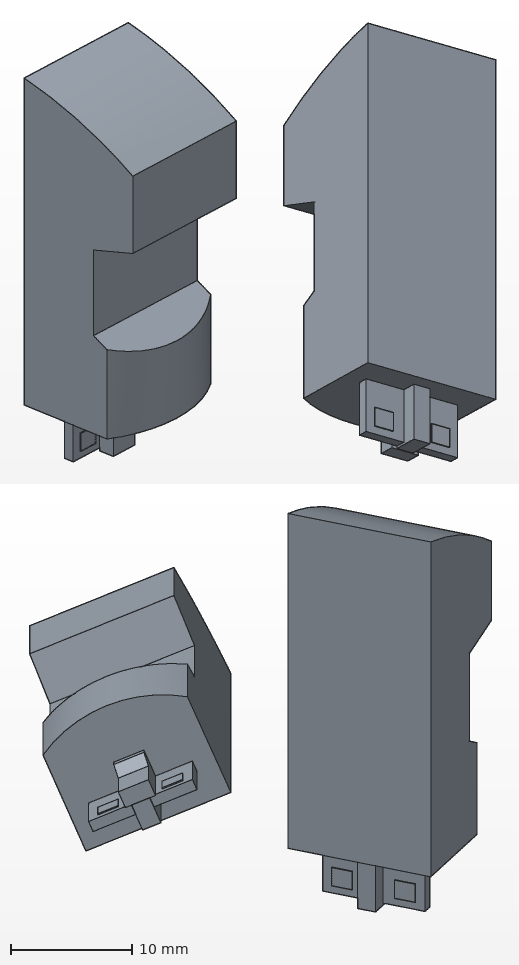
import cadquery as cq

depth = 11.9
height = 35.5
back_width = 13.0
front_width = 12.92
body_bottom = 5.0

top_front_z = 30.5
top_bulge = 0.57
head_bottom_z = 23.3
recess_x = 7.6
recess_top_z = 22.1
recess_bottom_z = 14.13

nose_side_x = 9.05
nose_tip_x = 11.05
nose_tip_z = 12.3
nose_foot_x = 10.97

plate_back_x = 2.8
plate_front_x = 3.75
plate_width = 9.3
plate_bottom = 0.3
pad_width = 1.85
pad_height = 1.67
pad_thickness = 0.1
pad_offset_y = 2.88
pad_center_z = 1.8

stem_back_x = 1.4
stem_width = 1.65
stem_bottom = 0.07
key_front_x = 5.25
key_width = 2.7
key_root_x = 6.2
key_root_z = 4.45
key_slope_end_z = 3.5


def box(x0, x1, width, z0, z1, center_y=0):
    """Box between two X and two Z positions, centred on center_y."""
    size = (x1 - x0, width, z1 - z0)
    center = ((x0 + x1) / 2, center_y, (z0 + z1) / 2)
    return cq.Workplane("XY").box(*size).translate(center)


def extrude_width(outline, width):
    """Extrude a closed XZ outline symmetrically along Y."""
    return outline.extrude(width / 2, both=True)


def make_housing():
    chord_drop = height - top_front_z
    chord = (depth**2 + chord_drop**2) ** 0.5
    top_middle = (
        depth / 2 + top_bulge * chord_drop / chord,
        (height + top_front_z) / 2 + top_bulge * depth / chord,
    )
    outline = (
        cq.Workplane("XZ")
        .moveTo(0, body_bottom)
        .lineTo(0, height)
        .threePointArc(top_middle, (depth, top_front_z))
        .lineTo(depth, head_bottom_z)
        .lineTo(recess_x, recess_top_z)
        .lineTo(recess_x, recess_bottom_z)
        .lineTo(nose_tip_x, nose_tip_z)
        .lineTo(nose_foot_x, body_bottom)
        .close()
    )
    plan = (
        cq.Workplane("XY")
        .polyline([
            (0, -back_width / 2),
            (depth, -front_width / 2),
            (depth, front_width / 2),
            (0, back_width / 2),
        ])
        .close()
        .extrude(height)
    )
    return extrude_width(outline, back_width).intersect(plan).cut(make_nose_trim())


def make_nose_trim():
    """Material in front of the bowed nose, whose tip leans with height."""
    half_width = back_width / 2
    lean = (nose_tip_x - nose_foot_x) / (nose_tip_z - body_bottom)
    top_tip_x = nose_foot_x + lean * (recess_bottom_z - body_bottom)

    def nose_section(plane, tip_x):
        return (
            plane.moveTo(0, -half_width)
            .lineTo(nose_side_x, -half_width)
            .threePointArc((tip_x, 0), (nose_side_x, half_width))
            .lineTo(0, half_width)
            .close()
        )

    foot = nose_section(cq.Workplane("XY", origin=(0, 0, body_bottom)), nose_foot_x)
    nose = nose_section(foot.workplane(offset=recess_bottom_z - body_bottom), top_tip_x).loft(ruled=True)
    return box(0, depth, back_width, body_bottom, recess_bottom_z).cut(nose)


def make_contact_plate():
    plate = box(plate_back_x, plate_front_x, plate_width, plate_bottom, body_bottom)
    for side in (-1, 1):
        pad = box(
            plate_back_x - pad_thickness,
            plate_front_x + pad_thickness,
            pad_width,
            pad_center_z - pad_height / 2,
            pad_center_z + pad_height / 2,
            side * pad_offset_y,
        )
        plate = plate.union(pad)
    return plate


def make_key():
    stem = box(stem_back_x, plate_front_x, stem_width, stem_bottom, body_bottom)
    crossbar = (
        cq.Workplane("XZ")
        .polyline([
            (plate_front_x, 0),
            (key_front_x, 0),
            (key_front_x, key_slope_end_z),
            (key_root_x, key_root_z),
            (key_root_x, body_bottom),
            (plate_front_x, body_bottom),
        ])
        .close()
    )
    return stem.union(extrude_width(crossbar, key_width))


result = make_housing().union(make_contact_plate()).union(make_key())